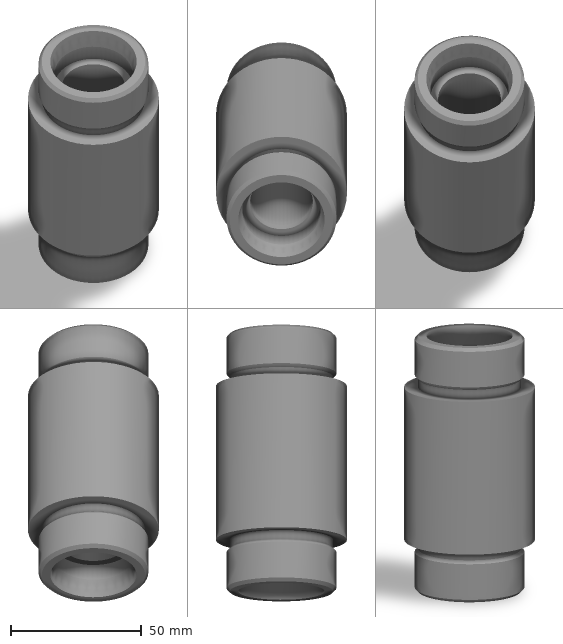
import cadquery as cq

length = 100.0
body_diameter = 50.0
body_length = 60.0

collar_diameter = 42.0
groove_diameter = 39.5
groove_length = 3.5
edge_chamfer = (collar_diameter - groove_diameter) / 2

bore_diameter = 24.0
counterbore_diameter = 30.0
counterbore_depth = 13.5
mouth_diameter = 33.0
mouth_depth = 7.0

body_radius = body_diameter / 2
collar_radius = collar_diameter / 2
groove_radius = groove_diameter / 2
bore_radius = bore_diameter / 2
counterbore_radius = counterbore_diameter / 2
mouth_radius = mouth_diameter / 2

end_height = length / 2
shoulder_height = body_length / 2
groove_end = shoulder_height + groove_length


def upper_outer_edge():
    """Radius-height points from the body shoulder up to the outer rim."""
    return [
        (body_radius, shoulder_height),
        (groove_radius, shoulder_height),
        (groove_radius, groove_end),
        (collar_radius, groove_end + edge_chamfer),
        (collar_radius, end_height - edge_chamfer),
        (groove_radius, end_height),
    ]


def upper_inner_edge():
    """Radius-height points from the mouth down to the through bore."""
    return [
        (mouth_radius, end_height),
        (counterbore_radius, end_height - mouth_depth),
        (counterbore_radius, end_height - counterbore_depth),
        (bore_radius, end_height - counterbore_depth),
    ]


upper_edge = upper_outer_edge() + upper_inner_edge()
lower_edge = [(radius, -height) for radius, height in reversed(upper_edge)]

section = cq.Workplane("XZ").polyline(upper_edge + lower_edge).close()
coupling = section.revolve(360, (0, 0, 0), (0, 1, 0))

result = coupling.translate((0, 0, end_height))